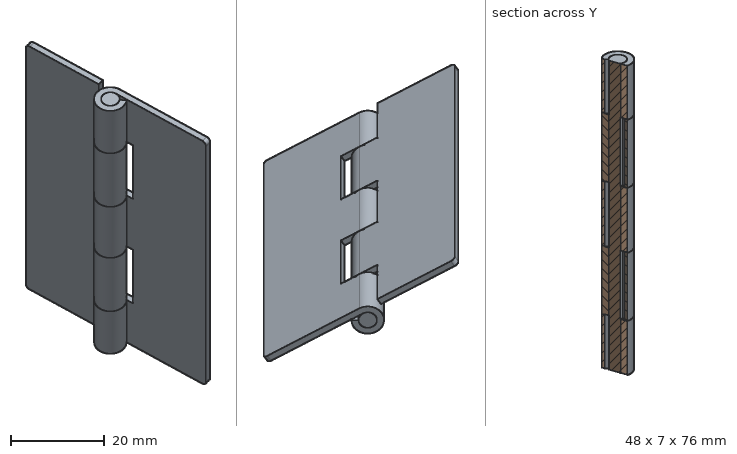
import cadquery as cq
import math

HINGE_LENGTH = 76.0
HINGE_WIDTH = 48.0
HALF_WIDTH = HINGE_WIDTH / 2

KNUCKLE_RADIUS = 3.5
SHEET_THICKNESS = 1.5
PIN_RADIUS = KNUCKLE_RADIUS - SHEET_THICKNESS
ROLL_END_ANGLE = 30.0
LEAF_EDGE = 4.55
CORNER_RADIUS = 1.0

INNER_KNUCKLE_LENGTH = 16.7
MIDDLE_KNUCKLE_LENGTH = 15.95
MIDDLE_TOP = MIDDLE_KNUCKLE_LENGTH / 2
INNER_TOP = MIDDLE_TOP + INNER_KNUCKLE_LENGTH
HINGE_TOP = HINGE_LENGTH / 2

RIGHT_KNUCKLES = [(-HINGE_TOP, -INNER_TOP), (-MIDDLE_TOP, MIDDLE_TOP), (INNER_TOP, HINGE_TOP)]
LEFT_KNUCKLES = [(-INNER_TOP, -MIDDLE_TOP), (MIDDLE_TOP, INNER_TOP)]


def polar(radius, angle):
    """Point at a radius and an angle in degrees around the pin axis."""
    radians = math.radians(angle)
    return (radius * math.cos(radians), radius * math.sin(radians))


def make_plate():
    """Flat part of a leaf on the +X side, with rounded outer corners."""
    plate = cq.Workplane("XY").box(
        HALF_WIDTH - LEAF_EDGE, SHEET_THICKNESS, HINGE_LENGTH, centered=(False, False, True)
    )
    plate = plate.translate((LEAF_EDGE, PIN_RADIUS, 0))
    return plate.edges("|Y and >X").fillet(CORNER_RADIUS)


def make_knuckle(bottom, top):
    """Sheet that leaves the plate and rolls around the pin, stopping just short of itself."""
    return (
        cq.Workplane("XY", origin=(0, 0, bottom))
        .moveTo(LEAF_EDGE, KNUCKLE_RADIUS)
        .lineTo(0, KNUCKLE_RADIUS)
        .threePointArc((-KNUCKLE_RADIUS, 0), polar(KNUCKLE_RADIUS, ROLL_END_ANGLE))
        .lineTo(*polar(PIN_RADIUS, ROLL_END_ANGLE))
        .threePointArc((-PIN_RADIUS, 0), (0, PIN_RADIUS))
        .lineTo(LEAF_EDGE, PIN_RADIUS)
        .close()
        .extrude(top - bottom)
    )


def make_leaf(knuckle_spans):
    """One leaf on the +X side: plate and its knuckles as a single solid."""
    leaf = make_plate()
    for bottom, top in knuckle_spans:
        leaf = leaf.union(make_knuckle(bottom, top))
    return leaf


def make_pin():
    """Plain pin running the full length of the hinge."""
    return cq.Workplane("XY", origin=(0, 0, -HINGE_TOP)).circle(PIN_RADIUS).extrude(HINGE_LENGTH)


right_leaf = make_leaf(RIGHT_KNUCKLES)
left_leaf = make_leaf(LEFT_KNUCKLES).mirror("YZ")
pin = make_pin()

result = cq.Compound.makeCompound([right_leaf.val(), left_leaf.val(), pin.val()])